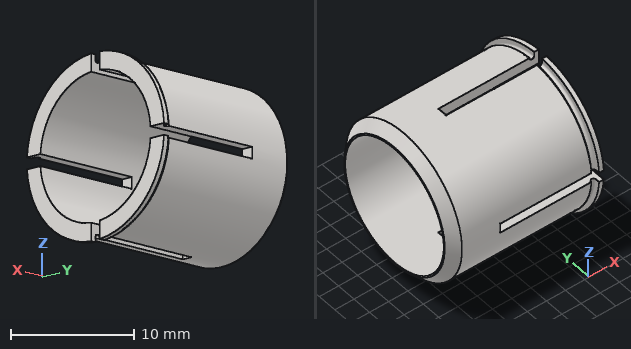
import cadquery as cq

length = 15.5
flange_diameter = 15.8
flange_thickness = 0.5
body_diameter = 15.0
bore_diameter = 12.7
nose_chamfer = 1.0
groove_width = 0.47
groove_depth = 0.27
slot_width = 1.0
slot_start = 5.0

flange_radius = flange_diameter / 2
body_radius = body_diameter / 2
bore_radius = bore_diameter / 2
groove_floor_radius = body_radius - groove_depth
flange_start = length - flange_thickness
groove_start = flange_start - groove_width
groove_middle = flange_start - groove_width / 2


def make_sleeve():
    """Revolve the wall section, with nose chamfer, round groove and end flange."""
    return (
        cq.Workplane("XY")
        .moveTo(0, bore_radius)
        .lineTo(0, body_radius - nose_chamfer)
        .lineTo(nose_chamfer, body_radius)
        .lineTo(groove_start, body_radius)
        .threePointArc((groove_middle, groove_floor_radius), (flange_start, body_radius))
        .lineTo(flange_start, flange_radius)
        .lineTo(length, flange_radius)
        .lineTo(length, bore_radius)
        .close()
        .revolve(360, (0, 0, 0), (1, 0, 0))
    )


def cut_slots(sleeve):
    """Cut two crossing slots, leaving four spring fingers at the flange end."""
    slot_length = length - slot_start
    for width_y, width_z in ((flange_diameter, slot_width), (slot_width, flange_diameter)):
        slot = cq.Workplane("XY").box(slot_length, width_y, width_z, centered=(False, True, True))
        sleeve = sleeve.cut(slot.translate((slot_start, 0, 0)))
    return sleeve


result = cut_slots(make_sleeve())